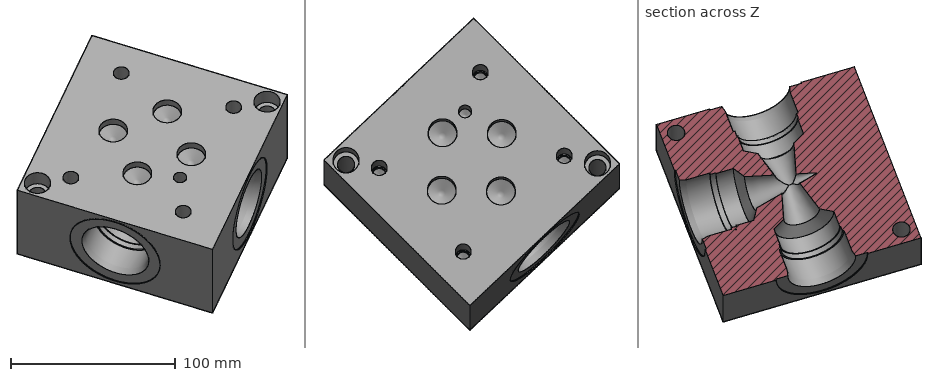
import cadquery as cq
import math

width = 127.0
height = 63.5
half_width = width / 2

drill_point_half_angle = 59.0

spotface_diameter = 58.57
spotface_depth = 0.7
seal_mouth_diameter = 43.51
thread_diameter = 41.28
seal_half_angle = 15.0
thread_end_depth = 19.8
thread_bore_diameter = 39.22
thread_bore_end_depth = 23.4
drill_diameter = 38.1
taper_diameter = 22.8
taper_diameter_at_centre = 9.7
taper_half_angle = 15.0
port_face_angles = (-90, 0, 90)

valve_port_diameter = 17.48
valve_port_offset = 25.4
valve_port_depth = 5.2
drain_diameter = 7.92
drain_position = (25.4, -19.05)
drain_depth = 10.0

bolt_mouth_diameter = 9.53
bolt_drill_diameter = 8.0
bolt_offset_x = 36.51
bolt_offset_y = 42.86
bolt_thread_depth = 15.0
bolt_drill_depth = 18.0

mount_diameter = 10.31
mount_counterbore_diameter = 15.88
mount_counterbore_depth = 11.0
mount_edge_distance = 9.525


def cone_length(start_diameter, end_diameter, half_angle):
    """Axial length of a cone between two diameters."""
    return (start_diameter - end_diameter) / 2 / math.tan(math.radians(half_angle))


def turned(profile):
    """Solid of revolution about Z from (diameter, depth) points, going down from Z = 0."""
    outline = cq.Workplane("XZ").moveTo(0, 0)
    for diameter, depth in profile:
        outline = outline.lineTo(diameter / 2, -depth)
    return outline.close().revolve(360, (0, 0, 0), (0, 1, 0))


def drilled_hole(diameter, depth):
    """Blind hole with a conical drill point below its full-diameter depth."""
    tip_depth = depth + cone_length(diameter, 0, drill_point_half_angle)
    return turned([(diameter, 0), (diameter, depth), (0, tip_depth)])


def side_port():
    """Stepped threaded port that narrows to a slender cone with its tip past the block centre."""
    seal_end_depth = spotface_depth + cone_length(seal_mouth_diameter, thread_diameter, seal_half_angle)
    tip_depth = half_width + cone_length(taper_diameter_at_centre, 0, taper_half_angle)
    taper_start_depth = tip_depth - cone_length(taper_diameter, 0, taper_half_angle)
    drill_end_depth = taper_start_depth - cone_length(drill_diameter, taper_diameter, drill_point_half_angle)
    return turned([
        (spotface_diameter, 0),
        (spotface_diameter, spotface_depth),
        (seal_mouth_diameter, spotface_depth),
        (thread_diameter, seal_end_depth),
        (thread_diameter, thread_end_depth),
        (thread_bore_diameter, thread_end_depth),
        (thread_bore_diameter, thread_bore_end_depth),
        (drill_diameter, thread_bore_end_depth),
        (drill_diameter, drill_end_depth),
        (taper_diameter, taper_start_depth),
        (0, tip_depth),
    ])


def bolt_hole():
    """Blind hole at thread size, then a smaller tap drill ending in a conical point."""
    tip_depth = bolt_drill_depth + cone_length(bolt_drill_diameter, 0, drill_point_half_angle)
    return turned([
        (bolt_mouth_diameter, 0),
        (bolt_mouth_diameter, bolt_thread_depth),
        (bolt_drill_diameter, bolt_thread_depth),
        (bolt_drill_diameter, bolt_drill_depth),
        (0, tip_depth),
    ])


def mounting_hole():
    """Counterbored through hole."""
    return turned([
        (mount_counterbore_diameter, 0),
        (mount_counterbore_diameter, mount_counterbore_depth),
        (mount_diameter, mount_counterbore_depth),
        (mount_diameter, height),
        (0, height),
    ])


def cut_side_ports(body):
    """Cut the same port into each ported side face."""
    minus_y_port = side_port().rotate((0, 0, 0), (1, 0, 0), 90).translate((0, -half_width, 0))
    for angle in port_face_angles:
        body = body.cut(minus_y_port.rotate((0, 0, 0), (0, 0, 1), angle))
    return body


def cut_from_top(body, tool, positions):
    """Cut a tool, whose mouth is at Z = 0, into the top face at each position."""
    for x, y in positions:
        body = body.cut(tool.translate((x, y, height / 2)))
    return body


valve_port_positions = [
    (valve_port_offset, 0),
    (0, valve_port_offset),
    (-valve_port_offset, 0),
    (0, -valve_port_offset),
]
bolt_positions = [(x, y) for x in (-bolt_offset_x, bolt_offset_x) for y in (-bolt_offset_y, bolt_offset_y)]
mount_offset = half_width - mount_edge_distance
mount_positions = [(-mount_offset, -mount_offset), (mount_offset, mount_offset)]

block = cq.Workplane("XY").box(width, width, height)
block = cut_side_ports(block)
block = cut_from_top(block, drilled_hole(valve_port_diameter, valve_port_depth), valve_port_positions)
block = cut_from_top(block, drilled_hole(drain_diameter, drain_depth), [drain_position])
block = cut_from_top(block, bolt_hole(), bolt_positions)
block = cut_from_top(block, mounting_hole(), mount_positions)

result = block